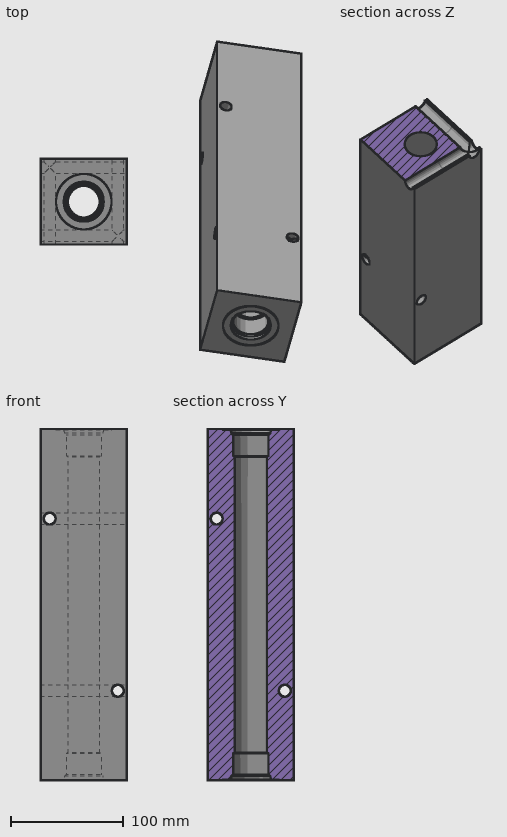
import cadquery as cq
import math

side = 76.2
length = 311.15
top = length / 2

mount_diameter = 10.32
mount_offset = 30.16
mount_height = 76.2

bore_diameter = 28.0
spotface_diameter = 49.1
spotface_depth = 0.8
seat_diameter = 35.5
seat_depth = 3.0
chamfer_diameter = 34.0
thread_diameter = 31.0
thread_depth = 23.0
drill_point_angle = 118.0


def make_bar():
    return cq.Workplane("XY").box(side, side, length)


def make_bore():
    return cq.Workplane("XY").circle(bore_diameter / 2).extrude(length, both=True)


def make_port():
    """Upper port: spotface, tapered seal seat, chamfer, threaded length and drill cone."""
    seat_top = top - spotface_depth
    seat_bottom = seat_top - seat_depth
    chamfer_bottom = seat_bottom - (chamfer_diameter - thread_diameter) / 2
    thread_bottom = seat_top - thread_depth
    point_slope = math.tan(math.radians(drill_point_angle / 2))
    drill_cone_height = (thread_diameter - bore_diameter) / 2 / point_slope
    cone_bottom = thread_bottom - drill_cone_height
    return (
        cq.Workplane("XZ")
        .moveTo(0, top)
        .lineTo(spotface_diameter / 2, top)
        .lineTo(spotface_diameter / 2, seat_top)
        .lineTo(seat_diameter / 2, seat_top)
        .lineTo(chamfer_diameter / 2, seat_bottom)
        .lineTo(thread_diameter / 2, chamfer_bottom)
        .lineTo(thread_diameter / 2, thread_bottom)
        .lineTo(bore_diameter / 2, cone_bottom)
        .lineTo(0, cone_bottom)
        .close()
        .revolve(360, (0, 0, 0), (0, 1, 0))
    )


def make_mount_holes():
    """One hole along X and one along Y near each end, on diagonally opposite edges."""
    radius = mount_diameter / 2
    along_y = cq.Workplane("XZ")
    along_x = cq.Workplane("YZ")
    for end in (1, -1):
        along_y = along_y.moveTo(-end * mount_offset, end * mount_height).circle(radius)
        along_x = along_x.moveTo(end * mount_offset, end * mount_height).circle(radius)
    return along_y.extrude(side, both=True).union(along_x.extrude(side, both=True))


upper_port = make_port()
lower_port = upper_port.mirror("XY")

result = make_bar().cut(make_bore()).cut(upper_port).cut(lower_port).cut(make_mount_holes())